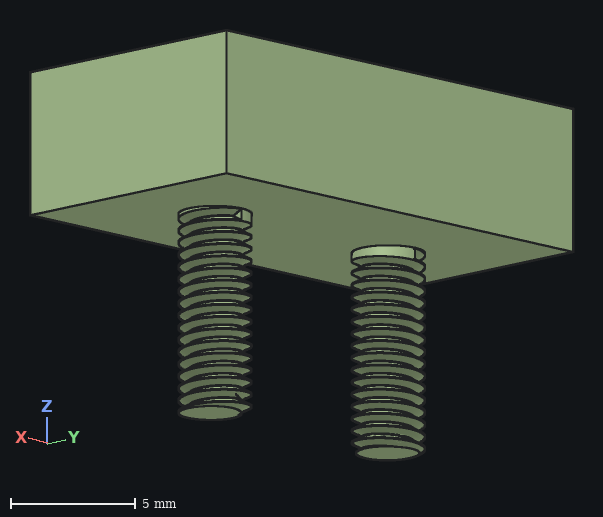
import cadquery as cq

LENGTH = 20.0
WIDTH = 11.0
BLOCK_HEIGHT = 5.9

RIM = 0.25
RECESS_DEPTH = 0.3

STUD_SPACING = 10.0
STUD_LENGTH = 8.2
STUD_RADIUS = 1.475
PITCH = 0.5
THREAD_DEPTH = 0.42
CREST_FLAT = 0.02
ROOT_FLAT = 0.03
MOUTH_OVERRUN = 0.02
GROOVE_START_DEPTH = PITCH / 2
GROOVE_TURNS = 16.5


def make_block():
    """Rectangular block with its underside at Z = 0 and a thin rim round the top."""
    block = cq.Workplane("XY").box(LENGTH, WIDTH, BLOCK_HEIGHT, centered=(True, True, False))
    recess = (
        cq.Workplane("XY", origin=(0, 0, BLOCK_HEIGHT - RECESS_DEPTH))
        .rect(LENGTH - 2 * RIM, WIDTH - 2 * RIM)
        .extrude(RECESS_DEPTH)
    )
    return block.cut(recess)


def make_groove():
    """Right-hand V groove, starting at +X just under the block and winding down."""
    half_mouth = (PITCH - CREST_FLAT) / 2
    half_root = ROOT_FLAT / 2
    root_radius = STUD_RADIUS - THREAD_DEPTH
    mouth_radius = STUD_RADIUS + MOUTH_OVERRUN
    profile = (
        cq.Workplane("XZ")
        .moveTo(root_radius, -half_root)
        .lineTo(mouth_radius, -half_mouth)
        .lineTo(mouth_radius, half_mouth)
        .lineTo(root_radius, half_root)
        .close()
    )
    helix = cq.Wire.makeHelix(PITCH, PITCH * GROOVE_TURNS, STUD_RADIUS)
    rising_groove = profile.sweep(cq.Workplane(obj=helix), isFrenet=True)
    descending_groove = rising_groove.rotate((0, 0, 0), (1, 0, 0), 180)
    return descending_groove.translate((0, 0, -GROOVE_START_DEPTH))


def make_stud():
    """Right-hand threaded stud hanging below Z = 0, turned so its groove starts at +Y."""
    blank = cq.Workplane("XY").circle(STUD_RADIUS).extrude(-STUD_LENGTH)
    return blank.cut(make_groove()).rotate((0, 0, 0), (0, 0, 1), 90)


right_stud = make_stud().translate((STUD_SPACING / 2, 0, 0))
left_stud = right_stud.mirror("YZ")

result = make_block().union(right_stud).union(left_stud)